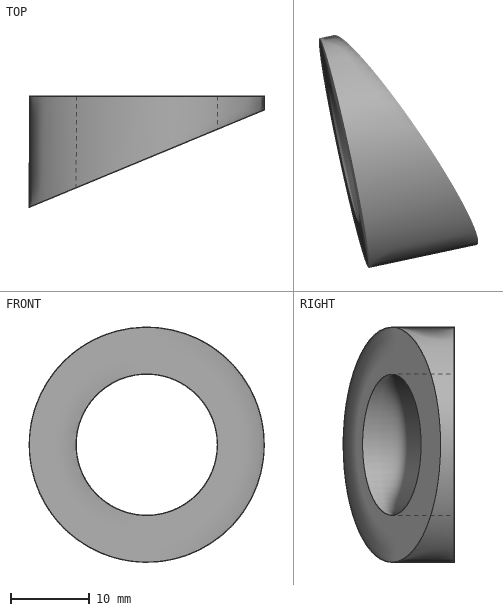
import cadquery as cq
import math

outer_diameter = 30.0
bore_diameter = 18.0
thick_side = 14.2
taper_angle = 22.5

outer_radius = outer_diameter / 2
thin_side = thick_side - outer_diameter * math.tan(math.radians(taper_angle))


def wedge():
    """Tapered block, its back face on the XZ plane and its front sloping along X."""
    return (
        cq.Workplane("XY")
        .moveTo(-outer_radius, 0)
        .lineTo(outer_radius, 0)
        .lineTo(outer_radius, -thin_side)
        .lineTo(-outer_radius, -thick_side)
        .close()
        .extrude(outer_radius, both=True)
    )


def ring():
    """Straight ring extending from the back face toward -Y."""
    return (
        cq.Workplane("XZ")
        .circle(outer_radius)
        .circle(bore_diameter / 2)
        .extrude(thick_side)
    )


result = ring().intersect(wedge())